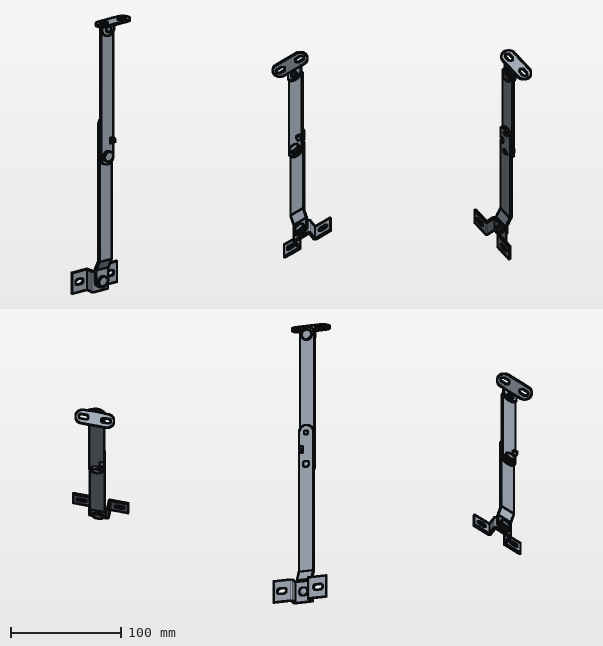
import cadquery as cq
import math


TOTAL_HEIGHT = 267.0
SHEET = 1.5

ARM_WIDTH = 14.0
ARM_THICKNESS = 2.5
ARM_END_RADIUS = ARM_WIDTH / 2

FOOT_LENGTH = 51.0
FOOT_HEIGHT = 20.0
FOOT_DEPTH = 10.5
CROWN_WIDTH = 18.2
BEND_RADIUS = 1.3
FOOT_SLOT_OFFSET = 17.5
FOOT_SLOT_LENGTH = 9.0
FOOT_SLOT_WIDTH = 5.3

LOWER_ARM_BOTTOM = 3.7
LOWER_ARM_TOP = 170.5
BEND_BOTTOM = 22.0
BEND_TOP = 31.5
LOWER_ARM_X = 15.5

UPPER_ARM_BOTTOM = 125.2
UPPER_ARM_TOP = 264.9

PLATE_LENGTH = 35.8
PLATE_WIDTH = 13.4
PLATE_END_X = 35.0
PLATE_SLOT_OFFSET = 10.5
PLATE_SLOT_LENGTH = 8.8
PLATE_SLOT_WIDTH = 4.5
TAB_BOTTOM = 250.5

FOOT_PIVOT_Z = FOOT_HEIGHT / 2
MIDDLE_PIVOT_Z = 133.5
TOP_PIVOT_Z = 257.0

FOOT_SHANK_RADIUS = 4.0
MIDDLE_SHANK_RADIUS = 3.0
TOP_SHANK_RADIUS = 3.0
HEAD_RADIUS = 4.8
FOOT_HEAD_THICKNESS = 1.5
MIDDLE_HEAD_THICKNESS = 2.5
TOP_HEAD_THICKNESS = 1.5
FOOT_DOME_HEIGHT = 1.5
MIDDLE_DOME_HEIGHT = 0.8
TOP_DOME_HEIGHT = 0.5
TOP_TAIL_LENGTH = 1.0

STOP_Z = 147.7
STOP_WIDTH = 3.7
STOP_DEPTH = 3.2
STOP_ROOT_HEIGHT = 5.5
STOP_TIP_HEIGHT = 2.0
GROOVE_DEPTH = 1.3
GROOVE_ROOT_HEIGHT = 6.5
GROOVE_TIP_HEIGHT = 1.3

DIMPLE_Z = 163.5
DIMPLE_RADIUS = 2.0
DIMPLE_DEPTH = 1.3

joint_x = LOWER_ARM_X + ARM_THICKNESS
tab_x = joint_x + ARM_THICKNESS
tab_outer_x = tab_x + SHEET


def x_cylinder(radius, start_x, end_x, z):
    """Cylinder along X on the part's centre plane."""
    return cq.Workplane("YZ", origin=(start_x, 0, z)).circle(radius).extrude(end_x - start_x)


def side_prism(points, width, start_y):
    """Prism with an outline in X and Z, running towards +Y from start_y."""
    return cq.Workplane("XZ", origin=(0, start_y, 0)).polyline(points).close().extrude(-width)


def arm_outline(start_x, end_x, bottom, top):
    """Flat strip of arm width with fully rounded ends."""
    length = top - bottom
    middle = (top + bottom) / 2
    return (
        cq.Workplane("YZ", origin=(start_x, 0, middle))
        .slot2D(length, ARM_WIDTH, 90)
        .extrude(end_x - start_x)
    )


def edge_wedge(root_x, depth, root_height, tip_height):
    """Blunt wedge at the arms' +Y edge that narrows from root_x towards +X."""
    tip_x = root_x + depth
    points = [
        (root_x, STOP_Z - root_height / 2),
        (tip_x, STOP_Z - tip_height / 2),
        (tip_x, STOP_Z + tip_height / 2),
        (root_x, STOP_Z + root_height / 2),
    ]
    return side_prism(points, STOP_WIDTH, ARM_WIDTH / 2 - STOP_WIDTH)


def make_foot_bracket():
    """Hat-shaped bracket: two slotted flanges at X = 0 and a raised crown that carries the arm."""
    crown_half = CROWN_WIDTH / 2
    wall_inside = crown_half - SHEET
    flange_end = FOOT_LENGTH / 2
    points = [
        (0, -flange_end),
        (SHEET, -flange_end),
        (SHEET, -crown_half),
        (FOOT_DEPTH, -crown_half),
        (FOOT_DEPTH, crown_half),
        (SHEET, crown_half),
        (SHEET, flange_end),
        (0, flange_end),
        (0, wall_inside),
        (FOOT_DEPTH - SHEET, wall_inside),
        (FOOT_DEPTH - SHEET, -wall_inside),
        (0, -wall_inside),
    ]
    bracket = cq.Workplane("XY").polyline(points).close().extrude(FOOT_HEIGHT)

    crown_bends = cq.selectors.BoxSelector(
        (FOOT_DEPTH - SHEET / 2, -FOOT_LENGTH, 0), (FOOT_DEPTH + SHEET, FOOT_LENGTH, FOOT_HEIGHT)
    )
    flange_bends = cq.selectors.BoxSelector(
        (-SHEET, -crown_half, 0), (SHEET / 2, crown_half, FOOT_HEIGHT)
    )
    bracket = bracket.edges("|Z").edges(crown_bends).fillet(BEND_RADIUS)
    bracket = bracket.edges("|Z").edges(flange_bends).fillet(BEND_RADIUS)

    slots = (
        cq.Workplane("YZ", origin=(0, 0, FOOT_HEIGHT / 2))
        .pushPoints([(-FOOT_SLOT_OFFSET, 0), (FOOT_SLOT_OFFSET, 0)])
        .slot2D(FOOT_SLOT_LENGTH, FOOT_SLOT_WIDTH)
        .extrude(SHEET)
    )
    return bracket.cut(slots).cut(x_cylinder(FOOT_SHANK_RADIUS, 0, FOOT_DEPTH, FOOT_PIVOT_Z))


def make_lower_arm():
    """Arm with an offset bend above the foot, a detent dimple and a groove at its +Y edge."""
    foot_outer_x = FOOT_DEPTH + ARM_THICKNESS
    side = [
        (FOOT_DEPTH, LOWER_ARM_BOTTOM),
        (FOOT_DEPTH, BEND_BOTTOM),
        (LOWER_ARM_X, BEND_TOP),
        (LOWER_ARM_X, LOWER_ARM_TOP),
        (joint_x, LOWER_ARM_TOP),
        (joint_x, BEND_TOP),
        (foot_outer_x, BEND_BOTTOM),
        (foot_outer_x, LOWER_ARM_BOTTOM),
    ]
    arm = side_prism(side, ARM_WIDTH, -ARM_WIDTH / 2)
    arm = arm.intersect(arm_outline(FOOT_DEPTH, joint_x, LOWER_ARM_BOTTOM, LOWER_ARM_TOP))

    arm = arm.cut(edge_wedge(LOWER_ARM_X, GROOVE_DEPTH, GROOVE_ROOT_HEIGHT, GROOVE_TIP_HEIGHT))

    ball_radius = (DIMPLE_RADIUS**2 + DIMPLE_DEPTH**2) / (2 * DIMPLE_DEPTH)
    ball_x = LOWER_ARM_X + DIMPLE_DEPTH - ball_radius
    ball = cq.Solid.makeSphere(ball_radius, dir=cq.Vector(1, 0, 0))
    arm = arm.cut(cq.Workplane(ball).translate((ball_x, 0, DIMPLE_Z)))

    arm = arm.cut(x_cylinder(FOOT_SHANK_RADIUS, FOOT_DEPTH, foot_outer_x, FOOT_PIVOT_Z))
    return arm.cut(x_cylinder(MIDDLE_SHANK_RADIUS, LOWER_ARM_X, joint_x, MIDDLE_PIVOT_Z))


def make_upper_arm():
    """Straight arm with a wedge-shaped stop at its +Y edge, facing away from the lower arm."""
    arm = arm_outline(joint_x, tab_x, UPPER_ARM_BOTTOM, UPPER_ARM_TOP)
    arm = arm.union(edge_wedge(tab_x, STOP_DEPTH, STOP_ROOT_HEIGHT, STOP_TIP_HEIGHT))
    arm = arm.cut(x_cylinder(MIDDLE_SHANK_RADIUS, joint_x, tab_x, MIDDLE_PIVOT_Z))
    return arm.cut(x_cylinder(TOP_SHANK_RADIUS, joint_x, tab_x, TOP_PIVOT_Z))


def make_top_bracket():
    """Slotted oblong plate on top, with a round-ended tab bent down along the upper arm."""
    plate_middle_x = PLATE_END_X - PLATE_WIDTH / 2
    plate_bottom = TOTAL_HEIGHT - SHEET
    plate = (
        cq.Workplane("XY", origin=(plate_middle_x, 0, plate_bottom))
        .slot2D(PLATE_LENGTH, PLATE_WIDTH, 90)
        .extrude(SHEET)
    )
    bend = (
        cq.Workplane("XY", origin=(tab_x, 0, plate_bottom))
        .rect(2 * SHEET, ARM_WIDTH)
        .extrude(SHEET)
        .intersect(
            cq.Workplane("XZ", origin=(tab_outer_x, ARM_WIDTH / 2, plate_bottom))
            .circle(SHEET)
            .extrude(ARM_WIDTH)
        )
    )
    tab_end_z = TAB_BOTTOM + ARM_END_RADIUS
    tab = (
        cq.Workplane("YZ", origin=(tab_x, 0, 0))
        .moveTo(-ARM_END_RADIUS, plate_bottom)
        .lineTo(-ARM_END_RADIUS, tab_end_z)
        .threePointArc((0, TAB_BOTTOM), (ARM_END_RADIUS, tab_end_z))
        .lineTo(ARM_END_RADIUS, plate_bottom)
        .close()
        .extrude(SHEET)
    )
    bracket = plate.union(bend).union(tab)

    slots = (
        cq.Workplane("XY", origin=(plate_middle_x, 0, plate_bottom))
        .pushPoints([(0, -PLATE_SLOT_OFFSET), (0, PLATE_SLOT_OFFSET)])
        .slot2D(PLATE_SLOT_LENGTH, PLATE_SLOT_WIDTH, 90)
        .extrude(SHEET)
    )
    return bracket.cut(slots).cut(x_cylinder(TOP_SHANK_RADIUS, tab_x, tab_outer_x, TOP_PIVOT_Z))


def make_rivet(z, head_x, tail_x, shank_radius, head_thickness, dome_height):
    """Rivet with a flat head outside head_x and a domed tail that starts at tail_x."""
    outward = math.copysign(1, tail_x - head_x)
    head_end = head_x - outward * head_thickness
    dome_end = tail_x + outward * dome_height
    dome_radius = (shank_radius**2 + dome_height**2) / (2 * dome_height)
    dome_centre = dome_end - outward * dome_radius
    half_angle = math.asin(shank_radius / dome_radius) / 2
    dome_middle = (
        dome_centre + outward * dome_radius * math.cos(half_angle),
        dome_radius * math.sin(half_angle),
    )
    return (
        cq.Workplane("XY")
        .moveTo(head_end, 0)
        .lineTo(head_end, HEAD_RADIUS)
        .lineTo(head_x, HEAD_RADIUS)
        .lineTo(head_x, shank_radius)
        .lineTo(tail_x, shank_radius)
        .threePointArc(dome_middle, (dome_end, 0))
        .close()
        .revolve(360, (0, 0, 0), (1, 0, 0))
        .translate((0, 0, z))
    )


foot_bracket = make_foot_bracket()
lower_arm = make_lower_arm()
upper_arm = make_upper_arm()
top_bracket = make_top_bracket()

rivet_places = [
    (FOOT_PIVOT_Z, FOOT_DEPTH + ARM_THICKNESS, FOOT_DEPTH - SHEET,
     FOOT_SHANK_RADIUS, FOOT_HEAD_THICKNESS, FOOT_DOME_HEIGHT),
    (MIDDLE_PIVOT_Z, tab_x, LOWER_ARM_X,
     MIDDLE_SHANK_RADIUS, MIDDLE_HEAD_THICKNESS, MIDDLE_DOME_HEIGHT),
    (TOP_PIVOT_Z, joint_x, tab_outer_x + TOP_TAIL_LENGTH,
     TOP_SHANK_RADIUS, TOP_HEAD_THICKNESS, TOP_DOME_HEIGHT),
]
rivets = [make_rivet(*place) for place in rivet_places]

result = cq.Compound.makeCompound(
    [
        foot_bracket.val(),
        lower_arm.val(),
        upper_arm.val(),
        top_bracket.val(),
        *[rivet.val() for rivet in rivets],
    ]
)